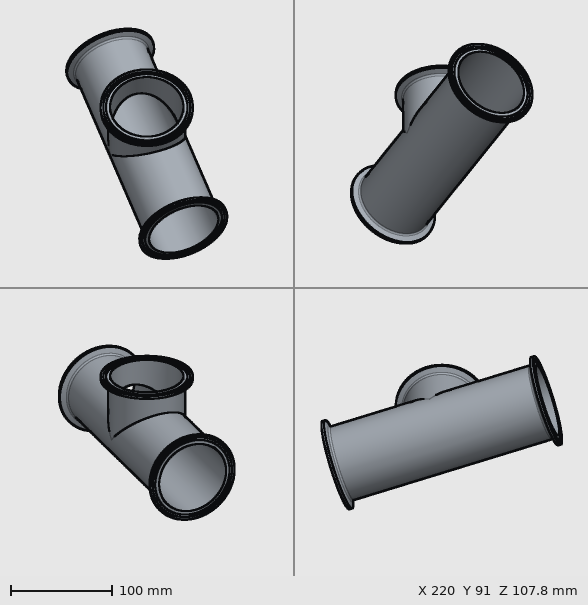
import cadquery as cq
import math

run_length = 220.0
overall_height = 107.8
flange_diameter = 91.0
tube_diameter = 76.3
bore_diameter = 72.4

rim_thickness = 2.9
back_slope = math.radians(20)
blend_radius = 2.2

groove_center_radius = 41.5
groove_width = 2.6
lip_radius = 0.77
groove_depth = 1.5

flange_radius = flange_diameter / 2
tube_radius = tube_diameter / 2
bore_radius = bore_diameter / 2
branch_height = overall_height - flange_radius

blend_center_radius = tube_radius + blend_radius
blend_start_radius = blend_center_radius - blend_radius * math.sin(back_slope)
blend_start_depth = rim_thickness + (flange_radius - blend_start_radius) * math.tan(back_slope)
blend_end_depth = blend_start_depth + blend_radius * math.cos(back_slope)
blend_mid_angle = (math.pi / 2 + back_slope) / 2
blend_mid_radius = blend_center_radius - blend_radius * math.sin(blend_mid_angle)
blend_mid_depth = blend_end_depth - blend_radius * math.cos(blend_mid_angle)


def flanged_leg(length):
    """Solid leg rising from the origin along Z, with a grooved flange at its top."""
    leg = (
        cq.Workplane("XZ")
        .moveTo(0, 0)
        .lineTo(tube_radius, 0)
        .lineTo(tube_radius, length - blend_end_depth)
        .threePointArc(
            (blend_mid_radius, length - blend_mid_depth),
            (blend_start_radius, length - blend_start_depth),
        )
        .lineTo(flange_radius, length - rim_thickness)
        .lineTo(flange_radius, length)
        .lineTo(0, length)
        .close()
        .revolve(360, (0, 0), (0, 1))
    )
    inner_wall = groove_center_radius - groove_width / 2
    outer_wall = groove_center_radius + groove_width / 2
    lip_bottom = length - lip_radius
    lip_bulge = lip_radius * (1 - math.sqrt(0.5))
    groove = (
        cq.Workplane("XZ")
        .moveTo(inner_wall - lip_radius, length)
        .threePointArc((inner_wall - lip_bulge, length - lip_bulge), (inner_wall, lip_bottom))
        .threePointArc((groove_center_radius, length - groove_depth), (outer_wall, lip_bottom))
        .threePointArc((outer_wall + lip_bulge, length - lip_bulge), (outer_wall + lip_radius, length))
        .close()
        .revolve(360, (0, 0), (0, 1))
    )
    return leg.cut(groove)


def turn_about_y(shape, angle):
    return shape.rotate((0, 0, 0), (0, 1, 0), angle)


half_run = flanged_leg(run_length / 2)
branch = flanged_leg(branch_height)
body = turn_about_y(half_run, 90).union(turn_about_y(half_run, -90)).union(branch)

run_bore = cq.Workplane("YZ").circle(bore_radius).extrude(run_length / 2, both=True)
branch_bore = cq.Workplane("XY").circle(bore_radius).extrude(branch_height)

result = body.cut(run_bore).cut(branch_bore).clean()